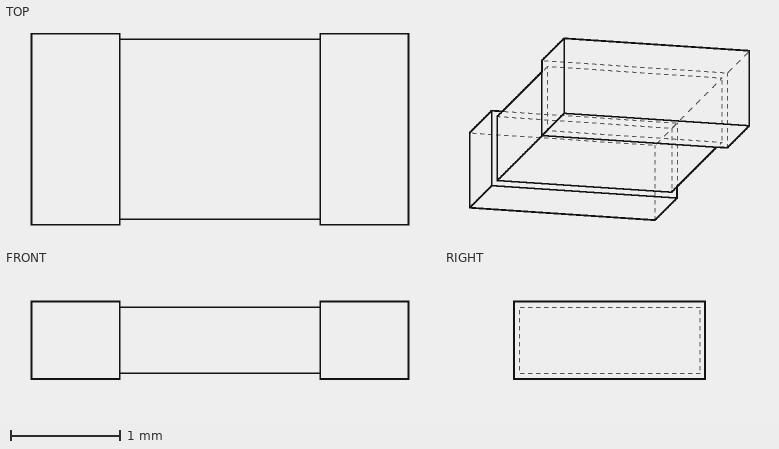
import cadquery as cq

length = 3.45
width = 1.75
height = 0.71

cap_length = 0.81
step = 0.052

body_length = length - 2 * cap_length
body_width = width - 2 * step
body_height = height - 2 * step


def make_body():
    """Plain block that fills the space between the two end caps."""
    return cq.Workplane("XY").box(body_length, body_width, body_height)


def make_end_cap(side):
    """Terminal block at one end: side is -1 for the -X end, +1 for the +X end."""
    center_x = side * (length - cap_length) / 2
    return cq.Workplane("XY").box(cap_length, width, height).translate((center_x, 0, 0))


body = make_body()
end_caps = [make_end_cap(side) for side in (-1, 1)]

result = cq.Compound.makeCompound([body.val(), *[cap.val() for cap in end_caps]])